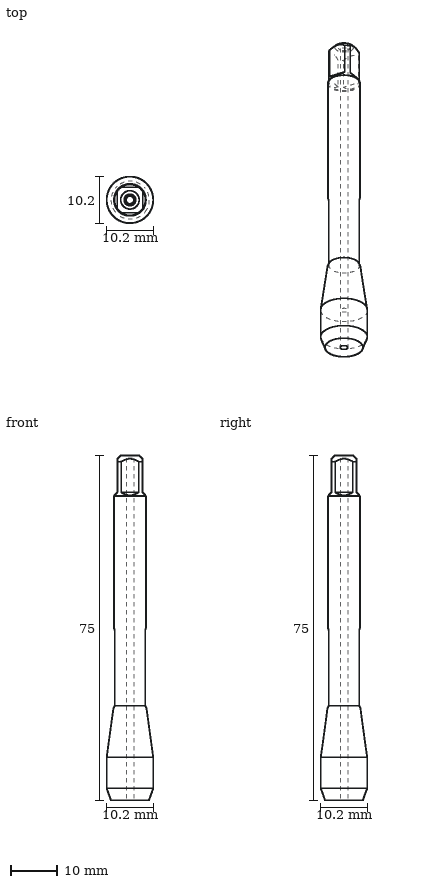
import cadquery as cq
import math

total_length = 75.0
thread_diameter = 10.17
shank_diameter = 7.0
neck_diameter = 6.7
square_corner_diameter = 6.72
coolant_hole_diameter = 1.7

head_length = 9.4
lead_length = 2.6
lead_angle = 20.0

cone_top = 20.0
cone_top_diameter = 7.25
neck_bottom = 20.6
neck_top = 37.0
shank_bottom = 37.5
shank_top = 66.07

square_width = 5.5
square_length = 8.0
square_foot_angle = 47.0
top_face_diameter = 4.0
countersink_diameter = 2.5
countersink_angle = 75.0

thread_radius = thread_diameter / 2
shank_radius = shank_diameter / 2
corner_radius = square_corner_diameter / 2
top_face_radius = top_face_diameter / 2
hole_radius = coolant_hole_diameter / 2


def revolve_profile(points):
    """Turn a closed (radius, height) outline around the Z axis."""
    return cq.Workplane("XZ").polyline(points).close().revolve(360, (0, 0, 0), (0, 1, 0))


def make_coolant_hole():
    """Through hole along the axis with a conical countersink at the top end."""
    sink_radius = countersink_diameter / 2
    sink_depth = (sink_radius - hole_radius) / math.tan(math.radians(countersink_angle / 2))
    return revolve_profile([
        (0, 0),
        (hole_radius, 0),
        (hole_radius, total_length - sink_depth),
        (sink_radius, total_length),
        (0, total_length),
    ])


def make_cutting_head():
    """Lower body: thread cylinder with its tapered lead at the bottom."""
    tip_radius = thread_radius - lead_length * math.tan(math.radians(lead_angle))
    return revolve_profile([
        (0, 0),
        (tip_radius, 0),
        (thread_radius, lead_length),
        (thread_radius, head_length),
        (0, head_length),
    ]).cut(make_coolant_hole())


def make_square_flat_cutter():
    """Wedge-footed block that mills the flat on the +X side of the square."""
    flat = square_width / 2
    outside = shank_diameter
    flat_foot = total_length - square_length
    foot_drop = (outside - flat) * math.tan(math.radians(square_foot_angle))
    return (
        cq.Workplane("XZ")
        .polyline([
            (flat, total_length),
            (flat, flat_foot),
            (outside, flat_foot - foot_drop),
            (outside, total_length),
        ])
        .close()
        .extrude(shank_radius, both=True)
    )


def make_shank():
    """Upper body: cone, relieved neck, shank and driving square."""
    neck_radius = neck_diameter / 2
    top_chamfer = corner_radius - top_face_radius
    shank = revolve_profile([
        (0, head_length),
        (thread_radius, head_length),
        (cone_top_diameter / 2, cone_top),
        (neck_radius, neck_bottom),
        (neck_radius, neck_top),
        (shank_radius, shank_bottom),
        (shank_radius, shank_top),
        (corner_radius, shank_top + shank_radius - corner_radius),
        (corner_radius, total_length - top_chamfer),
        (top_face_radius, total_length),
        (0, total_length),
    ])
    for side in range(4):
        shank = shank.cut(make_square_flat_cutter().rotate((0, 0, 0), (0, 0, 1), side * 90))
    return shank.cut(make_coolant_hole())


cutting_head = make_cutting_head()
shank = make_shank()

result = cq.Compound.makeCompound([cutting_head.val(), shank.val()])